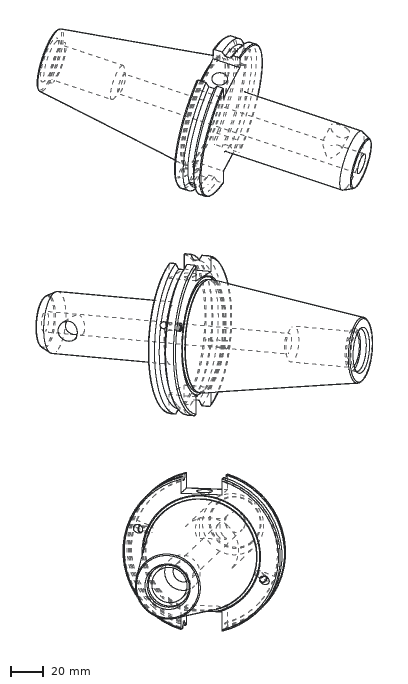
import cadquery as cq
import math


taper_length = 101.6
taper_large_radius = 69.85 / 2
taper_rate = 7 / 24
taper_small_radius = taper_large_radius - taper_rate * taper_length / 2
small_end_chamfer = 0.8

neck_radius = 69.25 / 2
neck_chamfer_length = 0.5

flange_radius = 98.06 / 2
flange_rear = 1.4
flange_front = 19.05
flange_rear_chamfer = 1.0
flange_front_chamfer = 0.6
relief_outer_radius = 73.8 / 2
relief_depth = 0.6
groove_center = 11.1
groove_floor_width = 3.6
groove_floor_radius = 45.8
groove_flank_angle = 30
groove_depth = flange_radius - groove_floor_radius
groove_mouth_width = groove_floor_width + 2 * groove_depth * math.tan(math.radians(groove_flank_angle))

slot_width = 25.5
top_slot_floor = 37.6
bottom_slot_floor = 35.3
dimple_radius = 9.53 / 2
dimple_point_angle = 118

nose_radius = 38.1 / 2
overall_length = 206.6
nose_end = overall_length - taper_length
nose_fillet = 3.0
nose_taper_length = 6.4
nose_tip_radius = 16.2
nose_tip_chamfer = 0.6

pilot_radius = 26.2 / 2
pilot_depth = 5.5
pilot_chamfer = 1.0
pilot_chamfer_length = 1.75
thread_radius = 21.97 / 2
thread_depth = 45.0
through_radius = 12.57 / 2
drill_point_angle = 118

screw_radius = 12.57 / 2
screw_position = 82.9

duct_angle = 20.2
duct_entry_offset = 42.0
duct_entry_radius = 5.0 / 2
duct_entry_depth = 2.8
duct_radius = 4.13 / 2
duct_tilt = 33
radial_hole_radius = 4.2 / 2
radial_hole_floor = duct_entry_offset - (groove_center - flange_rear) * math.tan(math.radians(duct_tilt))


def point_depth(radius, point_angle):
    """Axial length of a drill point of the given radius and full angle."""
    return radius / math.tan(math.radians(point_angle / 2))


def outer_body():
    """Taper, neck, grooved flange and nose, turned about the X axis."""
    half_floor = groove_floor_width / 2
    half_mouth = groove_mouth_width / 2
    arc_start = (flange_front, nose_radius + nose_fillet)
    arc_end = (flange_front + nose_fillet, nose_radius)
    arc_inset = nose_fillet * (1 - math.sqrt(0.5))
    arc_middle = (flange_front + arc_inset, nose_radius + arc_inset)
    chamfer_radius = taper_small_radius + taper_rate * small_end_chamfer / 2
    profile = (
        cq.Workplane("XY")
        .moveTo(-taper_length, 0)
        .lineTo(-taper_length, chamfer_radius - small_end_chamfer)
        .lineTo(-taper_length + small_end_chamfer, chamfer_radius)
        .lineTo(0, taper_large_radius)
        .lineTo(neck_chamfer_length, neck_radius)
        .lineTo(flange_rear + relief_depth, neck_radius)
        .lineTo(flange_rear + relief_depth, relief_outer_radius - relief_depth)
        .lineTo(flange_rear, relief_outer_radius)
        .lineTo(flange_rear, flange_radius - flange_rear_chamfer)
        .lineTo(flange_rear + flange_rear_chamfer, flange_radius)
        .lineTo(groove_center - half_mouth, flange_radius)
        .lineTo(groove_center - half_floor, groove_floor_radius)
        .lineTo(groove_center + half_floor, groove_floor_radius)
        .lineTo(groove_center + half_mouth, flange_radius)
        .lineTo(flange_front - flange_front_chamfer, flange_radius)
        .lineTo(flange_front, flange_radius - flange_front_chamfer)
        .lineTo(*arc_start)
        .threePointArc(arc_middle, arc_end)
        .lineTo(nose_end - nose_taper_length, nose_radius)
        .lineTo(nose_end - nose_tip_chamfer, nose_tip_radius)
        .lineTo(nose_end, nose_tip_radius - nose_tip_chamfer)
        .lineTo(nose_end, 0)
        .close()
    )
    return profile.revolve(360, (0, 0, 0), (1, 0, 0))


def axial_bores():
    """Chamfered pilot, thread bore and through hole, opening at the small end."""
    rear = -taper_length
    cone_length = point_depth(thread_radius - through_radius, drill_point_angle)
    profile = (
        cq.Workplane("XY")
        .moveTo(rear, 0)
        .lineTo(rear, pilot_radius + pilot_chamfer)
        .lineTo(rear + pilot_chamfer_length, pilot_radius)
        .lineTo(rear + pilot_depth, pilot_radius)
        .lineTo(rear + pilot_depth, thread_radius)
        .lineTo(rear + thread_depth, thread_radius)
        .lineTo(rear + thread_depth + cone_length, through_radius)
        .lineTo(nose_end, through_radius)
        .lineTo(nose_end, 0)
        .close()
    )
    return profile.revolve(360, (0, 0, 0), (1, 0, 0))


def drive_slot(side, floor_height):
    """Drive key slot across the flange on the +Z (side 1) or -Z (side -1) side."""
    height = flange_radius
    length = flange_front - flange_rear
    return cq.Workplane("XY").box(length, slot_width, height).translate(
        ((flange_rear + flange_front) / 2, 0, side * (floor_height + height / 2))
    )


def dimple():
    """Conical mark in the floor of the top slot."""
    depth = point_depth(dimple_radius, dimple_point_angle)
    cone = cq.Solid.makeCone(0, dimple_radius, depth)
    return cone.translate(cq.Vector(groove_center, 0, top_slot_floor - depth))


def screw_hole():
    """Clamping screw hole from the through hole out to the +Y side of the nose."""
    return cq.Solid.makeCylinder(
        screw_radius, nose_radius, cq.Vector(screw_position, 0, 0), cq.Vector(0, 1, 0)
    )


def coolant_duct():
    """Slanted, counterbored duct in the rear face, met by a radial hole from the groove."""
    tilt = math.radians(duct_tilt)
    axis = cq.Vector(math.cos(tilt), -math.sin(tilt), 0)
    entry = cq.Vector(flange_rear, duct_entry_offset, 0)
    length = (groove_center - flange_rear) / math.cos(tilt)
    slanted = cq.Solid.makeCylinder(duct_radius, length, entry, axis)
    counterbore = cq.Solid.makeCylinder(
        duct_entry_radius, 2 * duct_entry_depth, entry - axis * duct_entry_depth, axis
    )
    radial = cq.Solid.makeCylinder(
        radial_hole_radius,
        flange_radius - radial_hole_floor,
        cq.Vector(groove_center, radial_hole_floor, 0),
        cq.Vector(0, 1, 0),
    )
    return slanted.fuse(counterbore, radial)


result = outer_body().cut(axial_bores())
for side, floor_height in ((1, top_slot_floor), (-1, bottom_slot_floor)):
    result = result.cut(drive_slot(side, floor_height))
result = result.cut(dimple()).cut(screw_hole())
for turn in (0, 180):
    duct = coolant_duct().rotate(cq.Vector(0, 0, 0), cq.Vector(1, 0, 0), duct_angle + turn)
    result = result.cut(duct)